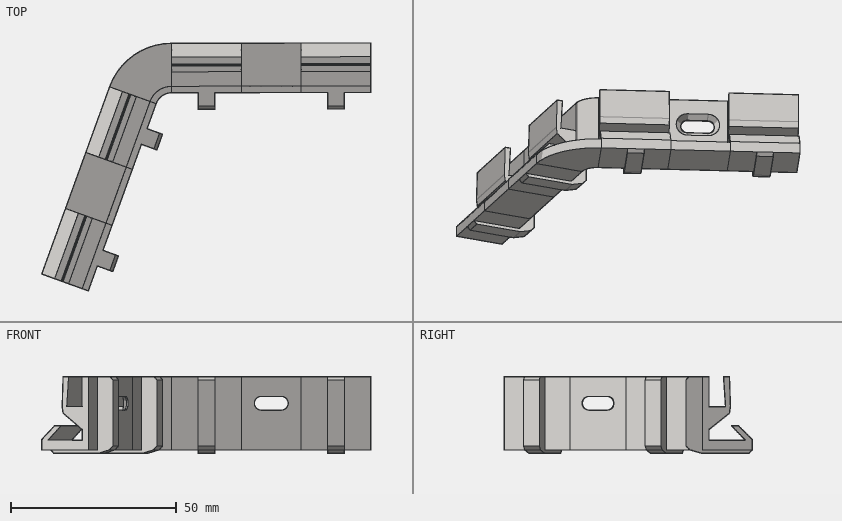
import cadquery as cq
import math


bend_angle = 70.0
tilt_angle = 0.08
clip_length = 21.0
plate_length = 18.0

inner_radius = 5.0
section_depth = 15.0
height = 22.1
wall_thickness = 2.0
floor_thickness = 3.0
outer_radius = inner_radius + section_depth
wall_inside = inner_radius + wall_thickness

lip_base_height = 3.2
lip_rise = 4.2
lip_width = 2.1
lip_top = lip_base_height + lip_rise

hook_shelf = 13.1
hook_nose_bottom = 11.1
hook_foot = 6.15
hook_setback = 6.8
hook_top_width = 1.8
hook_top_outside = outer_radius - hook_setback
hook_top_inside = hook_top_outside - hook_top_width
hook_bulge = 0.3
hook_slot_lean = 0.6

rib_width = 5.1
rib_tip = 0.0
rib_drop = 1.0
rib_chamfer = 1.0
rib_tip_bevel = 1.2
rib_ramp_end = 4.7

slot_length = 10.1
slot_width = 4.1
slot_height = 14.1
slot_land = 0.5
countersink_margin = 1.5


def section(points):
    """Closed outline in the YZ plane, Y being the distance from the bend axis."""
    return cq.Workplane("YZ").polyline(points).close()


def extrude_centred(points, length):
    """Outline extruded along X, half to each side of X = 0."""
    return section(points).extrude(length / 2, both=True)


def base_outline():
    """L shape: floor below, wall on the side of the bend axis."""
    return [
        (inner_radius, 0),
        (outer_radius, 0),
        (outer_radius, floor_thickness),
        (wall_inside, floor_thickness),
        (wall_inside, height),
        (inner_radius, height),
    ]


def clip_outline():
    """The L shape with the lip and the hook added."""
    return [
        (inner_radius, 0),
        (outer_radius, 0),
        (outer_radius, lip_base_height),
        (outer_radius - lip_rise, lip_top),
        (outer_radius - lip_rise - lip_width, lip_top),
        (outer_radius - lip_width, floor_thickness),
        (wall_inside, floor_thickness),
        (wall_inside, hook_foot),
        (hook_top_outside, hook_nose_bottom),
        (hook_top_outside + hook_bulge, hook_shelf),
        (hook_top_outside, height),
        (hook_top_inside, height),
        (hook_top_inside + hook_slot_lean, hook_shelf),
        (wall_inside, hook_shelf),
        (wall_inside, height),
        (inner_radius, height),
    ]


def rib_outline():
    """Band behind the wall and below the floor, bevelled at its tip."""
    return [
        (wall_inside, height),
        (rib_tip + rib_chamfer, height),
        (rib_tip, height - rib_chamfer),
        (rib_tip, rib_tip_bevel),
        (rib_tip + rib_tip_bevel, 0),
        (rib_ramp_end, -rib_drop),
        (outer_radius - rib_drop, -rib_drop),
        (outer_radius, 0),
        (wall_inside, 0),
    ]


def make_corner():
    """The L shape swept around the bend axis."""
    return section(base_outline()).revolve(bend_angle, (0, 0), (0, 1))


def make_clip():
    """Clip segment with a rib across the middle of its length."""
    body = extrude_centred(clip_outline(), clip_length)
    rib = extrude_centred(rib_outline(), rib_width)
    return body.union(rib)


def slot_outline(distance):
    """Slot drawn on a plane that faces the lip, at this distance from the bend axis."""
    plane = cq.Plane(origin=(0, distance, slot_height), xDir=(-1, 0, 0), normal=(0, 1, 0))
    return cq.Workplane(plane).slot2D(slot_length, slot_width)


def make_screw_plate():
    """Plain segment whose wall has a slot, countersunk from the inside."""
    body = extrude_centred(base_outline(), plate_length)
    countersink_depth = wall_thickness - slot_land
    countersink_angle = math.degrees(math.atan(countersink_margin / countersink_depth))
    slot = slot_outline(inner_radius).extrude(wall_thickness)
    countersink = slot_outline(inner_radius + slot_land).extrude(countersink_depth, taper=-countersink_angle)
    return body.cut(slot).cut(countersink)


def make_leg_bodies(make_body, distances):
    """Copies of one kind of body at these distances from the corner, on both legs."""
    bodies = []
    for distance in distances:
        straight = make_body().translate((distance, 0, 0))
        turned = make_body().translate((-distance, 0, 0)).rotate((0, 0, 0), (0, 0, 1), bend_angle)
        bodies += [straight, turned]
    return bodies


near_clip_centre = clip_length / 2
plate_centre = clip_length + plate_length / 2
far_clip_centre = clip_length + plate_length + clip_length / 2

corner = make_corner()
clips = make_leg_bodies(make_clip, [near_clip_centre, far_clip_centre])
screw_plates = make_leg_bodies(make_screw_plate, [plate_centre])

bracket = [corner, *clips, *screw_plates]
result = cq.Compound.makeCompound(
    [body.rotate((0, 0, 0), (0, 0, 1), tilt_angle).val() for body in bracket]
)